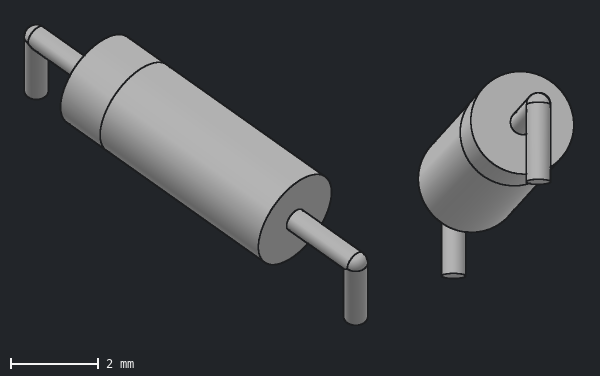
import cadquery as cq

overall_length = 10.72
casing_diameter = 2.4
casing_length = 6.3
band_length = 1.26
wire_diameter = 0.56
leg_drop = 1.8

wire_radius = wire_diameter / 2
bend_x = overall_length / 2 - wire_radius
casing_end_x = casing_length / 2
band_joint_x = band_length - casing_end_x


def x_cylinder(start_x, end_x, diameter):
    """Cylinder on the X axis from start_x to end_x."""
    return cq.Workplane("YZ", origin=(start_x, 0, 0)).circle(diameter / 2).extrude(end_x - start_x)


def miter_wedge():
    """The part of the +X bend nearer the leg than the lead, below the 45 degree miter plane."""
    return (
        cq.Workplane("XZ", origin=(bend_x, 0, 0))
        .polyline([(0, 0), (-wire_radius, -wire_radius), (0, -wire_radius)])
        .close()
        .extrude(wire_radius, both=True)
    )


def make_lead():
    """Horizontal wire at the +X end, mitered on the inside of the bend."""
    return x_cylinder(casing_end_x, bend_x, wire_diameter).cut(miter_wedge())


def make_leg():
    """Vertical wire at the +X end, fitted against the mitered lead."""
    wire = cq.Workplane("XY", origin=(bend_x, 0, 0)).circle(wire_radius).extrude(-leg_drop)
    return wire.cut(make_lead())


def make_elbow():
    """Quarter ball that rounds the outside of the +X bend."""
    outer_corner = cq.Workplane("XY").box(
        wire_radius, wire_diameter, wire_radius, centered=(False, True, False)
    )
    quarter_ball = cq.Workplane("XY").sphere(wire_radius).intersect(outer_corner)
    return quarter_ball.translate((bend_x, 0, 0))


band = x_cylinder(-casing_end_x, band_joint_x, casing_diameter)
casing = x_cylinder(band_joint_x, casing_end_x, casing_diameter)

wire_bodies = []
for turn in (0, 180):
    for make_body in (make_lead, make_leg, make_elbow):
        body = make_body().rotate((0, 0, 0), (0, 0, 1), turn)
        wire_bodies.append(body.solids().val())

result = cq.Compound.makeCompound([band.val(), casing.val(), *wire_bodies])